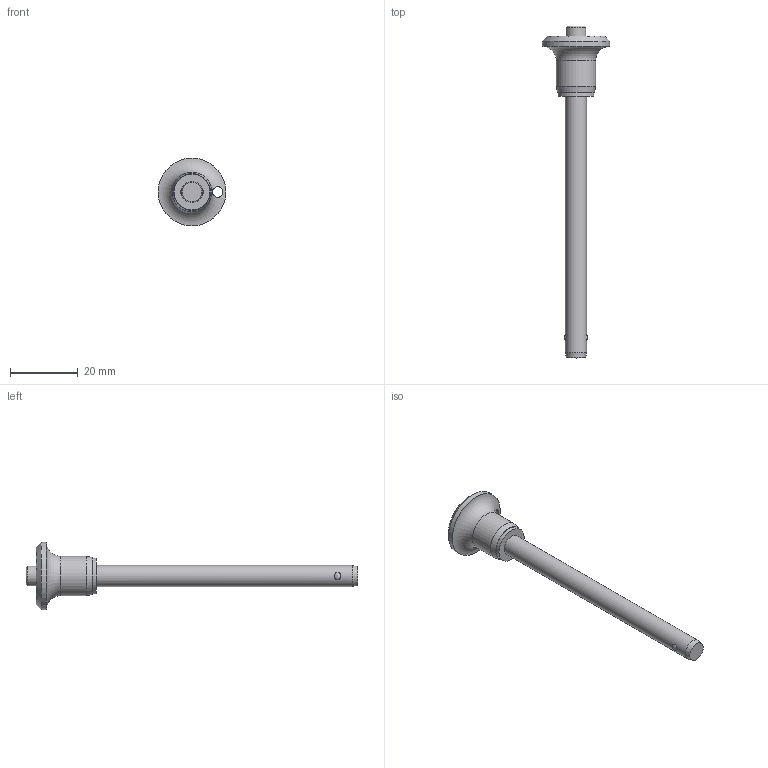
import cadquery as cq
import math


overall_length = 97.7
disc_radius = 10.0
disc_rim_width = 1.5
disc_chamfer = 1.5
body_radius = 5.8
flare_radius = disc_radius - body_radius
body_length = 7.5
neck_radius = 5.4
neck_length = 1.85
shoulder_radius = 5.25
shoulder_length = 1.15

button_radius = 2.9
button_height = 3.0
button_chamfer = 0.3

shank_radius = 3.1
tip_radius = 2.85
tip_length = 1.6

ball_radius = 1.5
ball_reach = 3.4
ball_to_tip = 6.0

lanyard_hole_diameter = 3.1
lanyard_hole_offset = 7.55

neck_start = shoulder_length
body_start = neck_start + neck_length
flare_start = body_start + body_length
disc_bottom = flare_start + flare_radius
chamfer_start = disc_bottom + disc_rim_width
disc_top = chamfer_start + disc_chamfer
button_top = disc_top + button_height
tip_end = button_top - overall_length


def revolved_pin():
    """Button, handle and shank as one profile of (radius, Y) turned about Y."""
    flare_mid = (
        disc_radius - flare_radius * math.cos(math.pi / 4),
        flare_start + flare_radius * math.sin(math.pi / 4),
    )
    profile = (
        cq.Workplane("XY")
        .moveTo(0, tip_end)
        .lineTo(tip_radius, tip_end)
        .lineTo(shank_radius, tip_end + tip_length)
        .lineTo(shank_radius, 0)
        .lineTo(shoulder_radius, 0)
        .lineTo(shoulder_radius, neck_start)
        .lineTo(neck_radius, neck_start)
        .lineTo(body_radius, body_start)
        .lineTo(body_radius, flare_start)
        .threePointArc(flare_mid, (disc_radius, disc_bottom))
        .lineTo(disc_radius, chamfer_start)
        .lineTo(disc_radius - disc_chamfer, disc_top)
        .lineTo(button_radius, disc_top)
        .lineTo(button_radius, button_top - button_chamfer)
        .lineTo(button_radius - button_chamfer, button_top)
        .lineTo(0, button_top)
        .close()
    )
    return profile.revolve(360, (0, 0, 0), (0, 1, 0))


def locking_ball(side):
    """Ball standing slightly proud of the shank on the +X or -X side."""
    center = (ball_reach - ball_radius, tip_end + ball_to_tip, 0)
    ball = cq.Workplane("XY").sphere(ball_radius).translate(center)
    return ball if side > 0 else ball.mirror("YZ")


def lanyard_hole():
    """Cutter parallel to the axis, through the flare and disc on the +X side."""
    return (
        cq.Workplane("XZ", origin=(lanyard_hole_offset, disc_top, 0))
        .circle(lanyard_hole_diameter / 2)
        .extrude(disc_top)
    )


result = revolved_pin()
for side in (-1, 1):
    result = result.union(locking_ball(side))
result = result.cut(lanyard_hole())